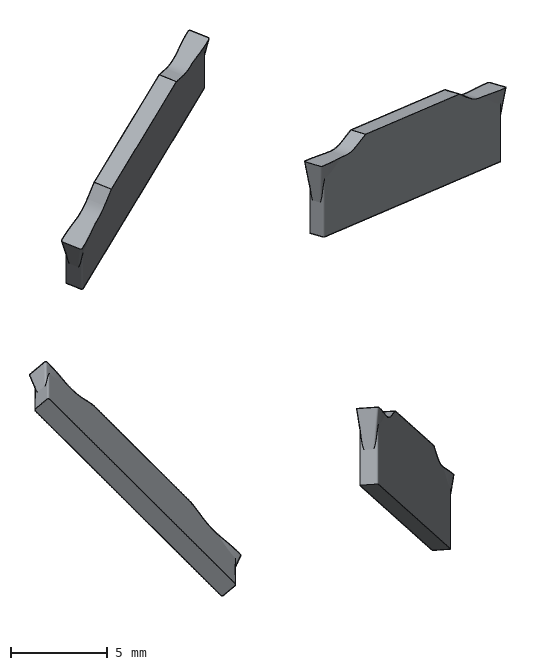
import cadquery as cq
import math

overall_length = 15.0
shank_length = 14.39
shank_width = 1.0
overall_height = 4.72
land_height = 4.03
shank_edge_radius = 0.1

ramp_angle = math.radians(30)
ramp_arc_radius = 1.62
rise = overall_height - land_height
arc_run = ramp_arc_radius * math.sin(ramp_angle)
arc_rise = ramp_arc_radius * (1 - math.cos(ramp_angle))
ramp_run = (rise - arc_rise) / math.tan(ramp_angle)
land_inner_y = 5.44
ramp_foot_y = land_inner_y - arc_run
ramp_top_y = ramp_foot_y - ramp_run

head_width = 1.2
tip_corner_radius = 0.1
front_relief_angle = math.radians(8)
side_relief_angle = math.radians(7)
side_straight_run = 0.33
side_arc_run = 0.75
side_tail_run = 1.2
side_start_angle = math.radians(0.5)
side_end_angle = math.radians(5)
head_embed_depth = 0.05
head_front_stock = 0.5

tip_y = overall_length / 2
front_relief_run = (overall_length - shank_length) / 2
head_depth = front_relief_run / math.tan(front_relief_angle) + head_embed_depth


def make_shank():
    """Blade extruded across X, with rounded vertical end edges."""
    end_y = shank_length / 2
    arc_mid_y = land_inner_y - ramp_arc_radius * math.sin(ramp_angle / 2)
    arc_mid_z = land_height + ramp_arc_radius * (1 - math.cos(ramp_angle / 2))
    ramp_foot_z = land_height + arc_rise
    return (
        cq.Workplane("YZ")
        .moveTo(-end_y, 0)
        .lineTo(end_y, 0)
        .lineTo(end_y, land_height)
        .lineTo(land_inner_y, land_height)
        .threePointArc((arc_mid_y, arc_mid_z), (ramp_foot_y, ramp_foot_z))
        .lineTo(ramp_top_y, overall_height)
        .lineTo(-ramp_top_y, overall_height)
        .lineTo(-ramp_foot_y, ramp_foot_z)
        .threePointArc((-arc_mid_y, arc_mid_z), (-land_inner_y, land_height))
        .lineTo(-end_y, land_height)
        .close()
        .extrude(shank_width / 2, both=True)
        .edges("|Z")
        .edges("<Y or >Y")
        .fillet(shank_edge_radius)
    )


def make_front_relief():
    """Block ahead of the -Y tip, whose rear face leans back below the cutting edge."""
    front_y = -tip_y - 2 * head_front_stock
    bottom_y = -tip_y + head_depth * math.tan(front_relief_angle)
    return (
        cq.Workplane("YZ")
        .moveTo(front_y, land_height)
        .lineTo(-tip_y, land_height)
        .lineTo(bottom_y, land_height - head_depth)
        .lineTo(front_y, land_height - head_depth)
        .close()
        .extrude(head_width, both=True)
    )


def make_head():
    """Head at the -Y end: plan outline tapered downwards, with rounded tip corners."""
    turn = math.pi / 2 - side_start_angle
    corner_setback = tip_corner_radius * math.tan(turn / 2)
    tip_half_width = head_width / 2 + corner_setback * math.sin(side_start_angle)

    arc_radius = side_arc_run / (math.sin(side_end_angle) - math.sin(side_start_angle))
    mid_angle = (side_start_angle + side_end_angle) / 2

    def arc_narrowing(angle):
        return arc_radius * (math.cos(side_start_angle) - math.cos(angle))

    def arc_advance(angle):
        return arc_radius * (math.sin(angle) - math.sin(side_start_angle))

    arc_start_x = tip_half_width - side_straight_run * math.tan(side_start_angle)
    arc_start_y = side_straight_run - tip_y
    arc_mid_x = arc_start_x - arc_narrowing(mid_angle)
    arc_mid_y = arc_start_y + arc_advance(mid_angle)
    arc_end_x = arc_start_x - arc_narrowing(side_end_angle)
    arc_end_y = arc_start_y + side_arc_run
    tail_x = arc_end_x - side_tail_run * math.tan(side_end_angle)
    tail_y = arc_end_y + side_tail_run

    stock_x = tip_half_width + head_front_stock * math.tan(side_start_angle)
    stock_y = -tip_y - head_front_stock

    return (
        cq.Workplane("XY", origin=(0, 0, land_height))
        .moveTo(-stock_x, stock_y)
        .lineTo(stock_x, stock_y)
        .lineTo(arc_start_x, arc_start_y)
        .threePointArc((arc_mid_x, arc_mid_y), (arc_end_x, arc_end_y))
        .lineTo(tail_x, tail_y)
        .lineTo(-tail_x, tail_y)
        .lineTo(-arc_end_x, arc_end_y)
        .threePointArc((-arc_mid_x, arc_mid_y), (-arc_start_x, arc_start_y))
        .close()
        .extrude(-head_depth, taper=math.degrees(side_relief_angle))
        .cut(make_front_relief())
        .faces("<Y")
        .edges("not #Z")
        .fillet(tip_corner_radius)
    )


head = make_head()
result = make_shank().union(head).union(head.mirror("XZ"))